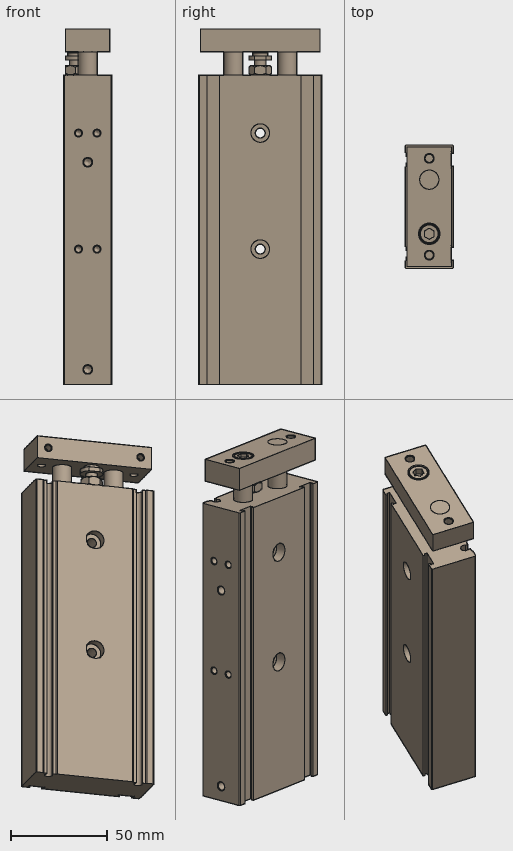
import cadquery as cq
import math

HOUSING_X = 25.0
HOUSING_Y = 64.0
HOUSING_Z = 160.0
EDGE_CHAMFER = 0.5
LEFT_FACE = -HOUSING_X / 2
RIGHT_FACE = HOUSING_X / 2
FRONT_FACE = -HOUSING_Y / 2

GROOVE_Y = 24.3
RELIEF_WIDTH = 7.7
RELIEF_DEPTH = 0.5
RELIEF_SLOPE = 0.5
GROOVE_MOUTH = 3.3
GROOVE_BORE_DIA = 4.0
GROOVE_BORE_INSET = 3.1

SLOT_MOUTH = 6.6
SLOT_LIP = 1.1
SLOT_WIDTH = 8.5
SLOT_DEPTH = 2.5

MOUNT_HEIGHTS = (70.1, 130.0)
MOUNT_DIA = 5.0
MOUNT_BORE_DIA = 9.5
MOUNT_BORE_DEPTH = 5.5

SMALL_THREAD_DIA = 4.0
SMALL_DRILL_DIA = 3.3
LARGE_THREAD_DIA = 5.0
LARGE_DRILL_DIA = 4.2
THREAD_DEPTH = 6.0
DRILL_POINT_ANGLE = 118
SIDE_HOLE_X = 4.8
PORT_HEIGHTS = (8.0, 115.0)

TOTAL_Z = 184.0
PLATE_X = 23.0
PLATE_Y = 62.0
PLATE_THICKNESS = 12.0
PLATE_BOTTOM = TOTAL_Z - PLATE_THICKNESS
PLATE_HOLE_Y = 25.0

ROD_Y = 14.0
ROD_DIA = 10.0
ROD_CHAMFER = 0.4
ROD_COUNTERSINK_DIA = 11.0
SOCKET_FLATS = 5.0
SOCKET_DEPTH = 3.7

BOLT_X = -6.5
BOLT_DIA = 6.0
WRENCH_FLATS = 10.1
NUT_HEIGHT = 5.0
NUT_CHAMFER = 1.0
COLLAR_DIA = 11.8
COLLAR_BOTTOM = 167.8
COLLAR_TOP = 170.0
BUMPER_DIA = 8.0
BUMPER_GAP = 0.4


def cylinder(diameter, bottom, top, x=0.0, y=0.0):
    """Upright cylinder between two heights."""
    return cq.Workplane("XY", origin=(x, y, bottom)).circle(diameter / 2).extrude(top - bottom)


def cylinder_along_x(diameter, start, length, z):
    """Cylinder along X at Y = 0, from a starting X toward +X."""
    return cq.Workplane("YZ", origin=(start, 0, z)).circle(diameter / 2).extrude(length)


def corner_diameter(flats):
    """Diameter across the corners of a hexagon."""
    return flats / math.cos(math.pi / 6)


def hexagon(flats, bottom, top, x=0.0, y=0.0):
    """Upright hexagonal prism with two of its flats facing -X and +X."""
    prism = cq.Workplane("XY").polygon(6, corner_diameter(flats)).extrude(top - bottom)
    return prism.rotate((0, 0, 0), (0, 0, 1), 30).translate((x, y, bottom))


def threaded_hole(origin, inward, thread_dia, drill_dia):
    """Cutter for a blind hole with a countersunk mouth and a drill-point bottom."""
    thread_radius = thread_dia / 2
    drill_radius = drill_dia / 2
    countersink_depth = thread_radius - drill_radius
    point_length = drill_radius / math.tan(math.radians(DRILL_POINT_ANGLE / 2))
    cutter = (
        cq.Workplane("XZ")
        .polyline([
            (0, 0),
            (thread_radius, 0),
            (drill_radius, countersink_depth),
            (drill_radius, THREAD_DEPTH),
            (0, THREAD_DEPTH + point_length),
        ])
        .close()
        .revolve(360, (0, 0, 0), (0, 1, 0))
    )
    placement = cq.Location(cq.Plane(origin=origin, normal=inward))
    return cq.Workplane(cutter.val().moved(placement))


def sensor_groove(y):
    """Cutter for one sensor groove along the -X face."""
    floor_x = LEFT_FACE + RELIEF_DEPTH
    half_top = RELIEF_WIDTH / 2
    half_floor = half_top - RELIEF_SLOPE
    relief = (
        cq.Workplane("XY")
        .polyline([
            (LEFT_FACE, y - half_top),
            (floor_x, y - half_floor),
            (floor_x, y + half_floor),
            (LEFT_FACE, y + half_top),
        ])
        .close()
        .extrude(HOUSING_Z)
    )
    mouth = (
        cq.Workplane("XY")
        .center(LEFT_FACE, y)
        .rect(2 * GROOVE_BORE_INSET, GROOVE_MOUTH)
        .extrude(HOUSING_Z)
    )
    bore = cylinder(GROOVE_BORE_DIA, 0, HOUSING_Z, LEFT_FACE + GROOVE_BORE_INSET, y)
    return relief.union(mouth).union(bore)


def t_slot(y):
    """Cutter for one T-slot along the +X face."""
    mouth = cq.Workplane("XY").center(RIGHT_FACE, y).rect(2 * SLOT_DEPTH, SLOT_MOUTH).extrude(HOUSING_Z)
    undercut_x = RIGHT_FACE - (SLOT_LIP + SLOT_DEPTH) / 2
    undercut = (
        cq.Workplane("XY")
        .center(undercut_x, y)
        .rect(SLOT_DEPTH - SLOT_LIP, SLOT_WIDTH)
        .extrude(HOUSING_Z)
    )
    return mouth.union(undercut)


def mounting_hole(z):
    """Cutter for one counterbored hole through the housing along X."""
    cutter = cylinder_along_x(MOUNT_DIA, LEFT_FACE, HOUSING_X, z)
    for start in (LEFT_FACE, RIGHT_FACE - MOUNT_BORE_DEPTH):
        cutter = cutter.union(cylinder_along_x(MOUNT_BORE_DIA, start, MOUNT_BORE_DEPTH, z))
    return cutter


def make_bumper_bolt():
    """Nut, shank, collar and bumper, ending just short of the plate."""
    nut_top = HOUSING_Z + NUT_HEIGHT
    nut_blank = cylinder(corner_diameter(WRENCH_FLATS), HOUSING_Z, nut_top, BOLT_X)
    nut_blank = nut_blank.edges("%CIRCLE").chamfer(NUT_CHAMFER)
    nut = hexagon(WRENCH_FLATS, HOUSING_Z, nut_top, BOLT_X).intersect(nut_blank)
    shank = cylinder(BOLT_DIA, HOUSING_Z, COLLAR_BOTTOM, BOLT_X)
    between_flats = (
        cq.Workplane("XY", origin=(BOLT_X, 0, COLLAR_BOTTOM))
        .rect(WRENCH_FLATS, COLLAR_DIA)
        .extrude(COLLAR_TOP - COLLAR_BOTTOM)
    )
    collar = cylinder(COLLAR_DIA, COLLAR_BOTTOM, COLLAR_TOP, BOLT_X).intersect(between_flats)
    bumper = cylinder(BUMPER_DIA, COLLAR_TOP, PLATE_BOTTOM - BUMPER_GAP, BOLT_X)
    return nut.union(shank).union(collar).union(bumper)


def make_rods():
    """Plain rear rod and front rod with chamfered end and hexagon socket."""
    rear = cylinder(ROD_DIA, HOUSING_Z, TOTAL_Z, y=ROD_Y)
    front = cylinder(ROD_DIA, HOUSING_Z, TOTAL_Z, y=-ROD_Y).faces(">Z").chamfer(ROD_CHAMFER)
    socket = hexagon(SOCKET_FLATS, TOTAL_Z - SOCKET_DEPTH, TOTAL_Z, y=-ROD_Y)
    return rear, front.cut(socket)


def make_housing():
    """Housing block, together with its rods and bumper bolt."""
    block = cq.Workplane("XY").box(HOUSING_X, HOUSING_Y, HOUSING_Z, centered=(True, True, False))
    body = block.edges("|Z").chamfer(EDGE_CHAMFER)
    for y in (-GROOVE_Y, GROOVE_Y):
        body = body.cut(sensor_groove(y))
        body = body.cut(t_slot(y))
    for z in MOUNT_HEIGHTS:
        body = body.cut(mounting_hole(z))
        for x in (-SIDE_HOLE_X, SIDE_HOLE_X):
            body = body.cut(threaded_hole((x, FRONT_FACE, z), (0, 1, 0), SMALL_THREAD_DIA, SMALL_DRILL_DIA))
    for z in PORT_HEIGHTS:
        body = body.cut(threaded_hole((0, FRONT_FACE, z), (0, 1, 0), LARGE_THREAD_DIA, LARGE_DRILL_DIA))
    for rod in make_rods():
        body = body.union(rod)
    return body.union(make_bumper_bolt())


def plate_through_hole(y):
    """Cutter for a threaded hole through the plate, countersunk at the top."""
    drill = cylinder(LARGE_DRILL_DIA, PLATE_BOTTOM, TOTAL_Z, y=y)
    return drill.union(threaded_hole((0, y, TOTAL_Z), (0, 0, -1), LARGE_THREAD_DIA, LARGE_DRILL_DIA))


def rod_countersink():
    """Conical cutter around the front rod at the plate top."""
    depth = (ROD_COUNTERSINK_DIA - ROD_DIA) / 2
    blank = cylinder(ROD_COUNTERSINK_DIA, PLATE_BOTTOM, TOTAL_Z, y=-ROD_Y).faces("<Z").chamfer(depth)
    return blank.translate((0, 0, PLATE_THICKNESS - depth))


def make_plate():
    """Tool plate with threaded holes and the two holes that the rods fill."""
    plate = cq.Workplane("XY", origin=(0, 0, PLATE_BOTTOM)).box(
        PLATE_X, PLATE_Y, PLATE_THICKNESS, centered=(True, True, False)
    )
    side_hole_z = PLATE_BOTTOM + PLATE_THICKNESS / 2
    for y in (-PLATE_HOLE_Y, PLATE_HOLE_Y):
        plate = plate.cut(plate_through_hole(y))
        side_origin = (-PLATE_X / 2, y, side_hole_z)
        plate = plate.cut(threaded_hole(side_origin, (1, 0, 0), SMALL_THREAD_DIA, SMALL_DRILL_DIA))
    for y in (-ROD_Y, ROD_Y):
        plate = plate.cut(cylinder(ROD_DIA, PLATE_BOTTOM, TOTAL_Z, y=y))
    return plate.cut(rod_countersink())


housing = make_housing()
plate = make_plate()
result = cq.Compound.makeCompound([housing.solids().val(), plate.solids().val()])